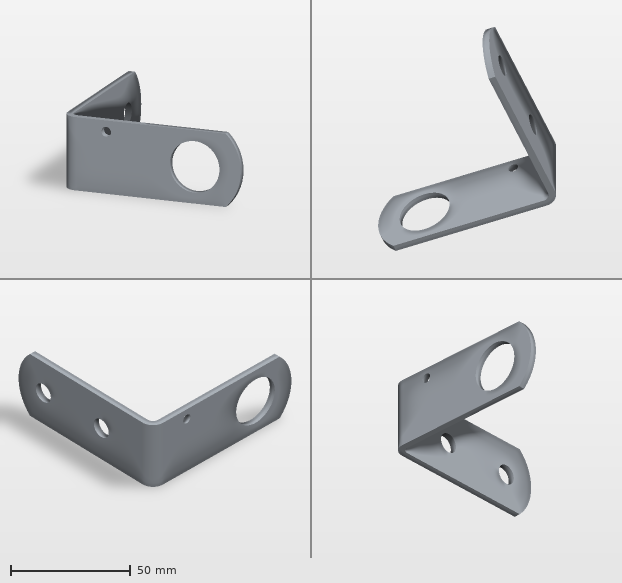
import cadquery as cq
import math

leg_length = 81.0
width = 32.0
thickness = 3.0

inner_bend_radius = 3.1
outer_bend_radius = inner_bend_radius + thickness
end_radius = 22.0

large_hole_diameter = 22.5
large_hole_distance = 60.0
small_hole_diameter = 4.3
small_hole_distance = 20.0
small_hole_height = 11.0
mounting_hole_diameter = 9.0
mounting_hole_distances = (31.0, 66.0)

half_width = width / 2
end_arc_depth = end_radius - math.sqrt(end_radius**2 - half_width**2)


def make_leg_outline(plane):
    """Solid as deep as a leg is long, with a straight strip outline and an arc at its far end."""
    return (
        cq.Workplane(plane)
        .moveTo(0, -half_width)
        .lineTo(leg_length - end_arc_depth, -half_width)
        .threePointArc((leg_length, 0), (leg_length - end_arc_depth, half_width))
        .lineTo(0, half_width)
        .close()
        .extrude(leg_length)
    )


def make_hole(plane, distance, height, diameter):
    """Cutter through one leg, centred at a distance from the corner and a height from mid-width."""
    return cq.Workplane(plane).center(distance, height).circle(diameter / 2).extrude(thickness)


x_leg_plane = cq.Plane(origin=(0, 0, 0), xDir=(1, 0, 0), normal=(0, 1, 0))
y_leg_plane = cq.Plane(origin=(0, 0, 0), xDir=(0, 1, 0), normal=(1, 0, 0))

strip = (
    cq.Workplane("XY")
    .polyline([
        (0, 0),
        (leg_length, 0),
        (leg_length, thickness),
        (thickness, thickness),
        (thickness, leg_length),
        (0, leg_length),
    ])
    .close()
    .extrude(half_width, both=True)
)
strip = strip.edges(cq.selectors.NearestToPointSelector((0, 0, 0))).fillet(outer_bend_radius)
strip = strip.edges(
    cq.selectors.NearestToPointSelector((thickness, thickness, 0))
).fillet(inner_bend_radius)

result = strip.intersect(make_leg_outline(x_leg_plane)).intersect(make_leg_outline(y_leg_plane))

result = result.cut(make_hole(x_leg_plane, large_hole_distance, 0, large_hole_diameter))
result = result.cut(
    make_hole(x_leg_plane, small_hole_distance, -small_hole_height, small_hole_diameter)
)

for mounting_hole_distance in mounting_hole_distances:
    result = result.cut(make_hole(y_leg_plane, mounting_hole_distance, 0, mounting_hole_diameter))